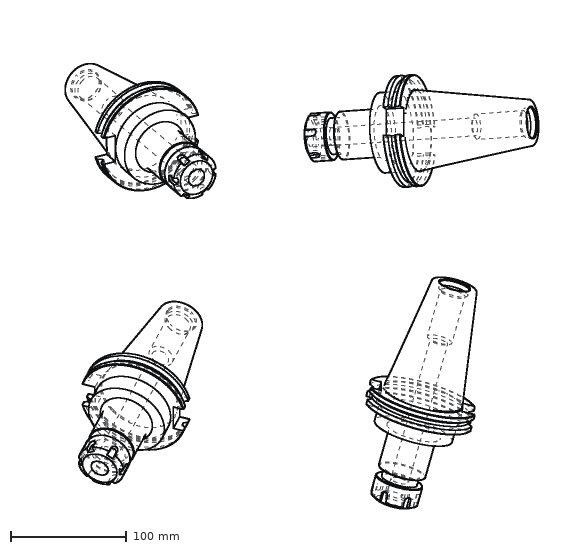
import cadquery as cq
import math


TAPER_END_X = 102.5
FLANGE_BACK_X = 104.9
FLANGE_WIDTH = 15.9
FLANGE_FRONT_X = FLANGE_BACK_X + FLANGE_WIDTH
COLLAR_END_X = 136.8
SHANK_END_X = 174.8
NUT_BACK_X = 183.0
NUT_FRONT_X = 203.2

TAPER_RATE = 7 / 24
TAPER_RADIUS = 70.1 / 2
LAND_FILLET = 0.8
TAPER_TIP_RADIUS = TAPER_RADIUS - TAPER_END_X * TAPER_RATE / 2
TIP_FILLET = 2.0
COLLAR_RADIUS = 70.1 / 2

FLANGE_RADIUS = 97.1 / 2
FLANGE_CHAMFER = 0.6
GROOVE_FLOOR_RADIUS = 45.1
GROOVE_FLOOR_WIDTH = 3.0
GROOVE_CENTRE_X = 112.5
GROOVE_SIDE_ANGLE = 30
SLOT_WIDTH = 25.2
SLOT_FLOOR_NEAR = 35.4
SLOT_FLOOR_FAR = 37.5

SHANK_RADIUS = 42.0 / 2
SHANK_FILLET = 5.0
SHANK_FILLET_LENGTH = 4.7
SHANK_END_CHAMFER = 0.6
NECK_RADIUS = 32.0 / 2
NECK_FILLET = 0.6

THROUGH_RADIUS = 15.6 / 2
MOUTH_RADIUS = 28.5 / 2
COUNTERBORE_RADIUS = 26.6 / 2
RELIEF_RADIUS = 26.2 / 2
DRAWBAR_RADIUS = 22.2 / 2
COUNTERBORE_END_X = 3.5
RELIEF_START_X = 4.5
RELIEF_END_X = 5.5
DRAWBAR_END_X = 50.8
DRILL_POINT_ANGLE = 118

NUT_RADIUS = 42.0 / 2
NUT_BACK_CHAMFER = 0.6
NUT_CONE_START_X = 200.2
NUT_FACE_RADIUS = 33.7 / 2
NUT_LIP_RADIUS = 32.0 / 2
NUT_LIP_HEIGHT = 0.6
WRENCH_SLOT_COUNT = 6
WRENCH_SLOT_WIDTH = 6.0
WRENCH_SLOT_START_X = 191.0
WRENCH_SLOT_FLOOR = 17.7


def spin(profile):
    """Revolve a closed profile of (x, radius) points about the X axis."""
    return profile.close().revolve(360, (0, 0, 0), (1, 0, 0))


def taper_shank():
    """7:24 taper with a rounded small end, and the land that blends into the flange by an arc."""
    taper = spin(
        cq.Workplane("XY")
        .lineTo(0, TAPER_TIP_RADIUS)
        .lineTo(TAPER_END_X, TAPER_RADIUS)
        .lineTo(TAPER_END_X, 0)
    )
    taper = taper.faces("<X").edges().fillet(TIP_FILLET)
    land = spin(
        cq.Workplane("XY")
        .moveTo(TAPER_END_X, 0)
        .lineTo(TAPER_END_X, TAPER_RADIUS)
        .lineTo(FLANGE_BACK_X - LAND_FILLET, TAPER_RADIUS)
        .radiusArc((FLANGE_BACK_X, TAPER_RADIUS + LAND_FILLET), -LAND_FILLET)
        .lineTo(FLANGE_BACK_X, 0)
    )
    return taper.union(land)


def gripper_groove():
    """Ring with sloping sides that cuts the V groove around the flange."""
    half_floor = GROOVE_FLOOR_WIDTH / 2
    depth = FLANGE_RADIUS - GROOVE_FLOOR_RADIUS
    half_top = half_floor + depth * math.tan(math.radians(GROOVE_SIDE_ANGLE))
    return spin(
        cq.Workplane("XY")
        .moveTo(GROOVE_CENTRE_X - half_floor, GROOVE_FLOOR_RADIUS)
        .lineTo(GROOVE_CENTRE_X + half_floor, GROOVE_FLOOR_RADIUS)
        .lineTo(GROOVE_CENTRE_X + half_top, FLANGE_RADIUS)
        .lineTo(GROOVE_CENTRE_X - half_top, FLANGE_RADIUS)
    )


def drive_slot(side, floor):
    """Block that cuts one drive slot; side is -1 for -Y and +1 for +Y."""
    depth = FLANGE_RADIUS - floor
    return cq.Workplane("XY").box(FLANGE_WIDTH, depth, SLOT_WIDTH).translate(
        (FLANGE_BACK_X + FLANGE_WIDTH / 2, side * (floor + depth / 2), 0)
    )


def gripper_flange():
    """Flange with chamfered rims, the V groove and two drive slots of unequal depth."""
    flange = (
        cq.Workplane("YZ", origin=(FLANGE_BACK_X, 0, 0))
        .circle(FLANGE_RADIUS)
        .extrude(FLANGE_WIDTH)
        .edges()
        .chamfer(FLANGE_CHAMFER)
    )
    flange = flange.cut(gripper_groove())
    flange = flange.cut(drive_slot(-1, SLOT_FLOOR_NEAR))
    return flange.cut(drive_slot(1, SLOT_FLOOR_FAR))


def collar_and_shank():
    """Collar in front of the flange, the shank blended into it by an arc, and the neck."""
    arc_end_x = COLLAR_END_X + SHANK_FILLET_LENGTH
    arc_centre_radius = SHANK_RADIUS + SHANK_FILLET
    arc_start_radius = arc_centre_radius - math.sqrt(SHANK_FILLET**2 - SHANK_FILLET_LENGTH**2)
    return spin(
        cq.Workplane("XY")
        .moveTo(FLANGE_FRONT_X, 0)
        .lineTo(FLANGE_FRONT_X, COLLAR_RADIUS)
        .lineTo(COLLAR_END_X, COLLAR_RADIUS)
        .lineTo(COLLAR_END_X, arc_start_radius)
        .radiusArc((arc_end_x, SHANK_RADIUS), -SHANK_FILLET)
        .lineTo(SHANK_END_X - SHANK_END_CHAMFER, SHANK_RADIUS)
        .lineTo(SHANK_END_X, SHANK_RADIUS - SHANK_END_CHAMFER)
        .lineTo(SHANK_END_X, NECK_RADIUS + NECK_FILLET)
        .radiusArc((SHANK_END_X + NECK_FILLET, NECK_RADIUS), -NECK_FILLET)
        .lineTo(NUT_BACK_X, NECK_RADIUS)
        .lineTo(NUT_BACK_X, 0)
    )


def holder_bore():
    """Stepped bore: chamfered mouth, counterbore, drawbar hole and through hole."""
    mouth_depth = MOUTH_RADIUS - COUNTERBORE_RADIUS
    seat_depth = RELIEF_RADIUS - DRAWBAR_RADIUS
    half_point = math.radians(DRILL_POINT_ANGLE / 2)
    point_length = (DRAWBAR_RADIUS - THROUGH_RADIUS) / math.tan(half_point)
    return spin(
        cq.Workplane("XY")
        .lineTo(0, MOUTH_RADIUS)
        .lineTo(mouth_depth, COUNTERBORE_RADIUS)
        .lineTo(COUNTERBORE_END_X, COUNTERBORE_RADIUS)
        .lineTo(RELIEF_START_X, RELIEF_RADIUS)
        .lineTo(RELIEF_END_X, RELIEF_RADIUS)
        .lineTo(RELIEF_END_X + seat_depth, DRAWBAR_RADIUS)
        .lineTo(DRAWBAR_END_X, DRAWBAR_RADIUS)
        .lineTo(DRAWBAR_END_X + point_length, THROUGH_RADIUS)
        .lineTo(NUT_BACK_X, THROUGH_RADIUS)
        .lineTo(NUT_BACK_X, 0)
    )


def make_holder():
    body = taper_shank().union(gripper_flange()).union(collar_and_shank())
    return body.cut(holder_bore())


def wrench_slot():
    """Cutter for the slot on the -Y side of the nut: round at its closed end, open at the front."""
    half_width = WRENCH_SLOT_WIDTH / 2
    round_end_x = WRENCH_SLOT_START_X + half_width
    return (
        cq.Workplane("XZ", origin=(0, -WRENCH_SLOT_FLOOR, 0))
        .moveTo(NUT_FRONT_X, -half_width)
        .lineTo(round_end_x, -half_width)
        .threePointArc((WRENCH_SLOT_START_X, 0), (round_end_x, half_width))
        .lineTo(NUT_FRONT_X, half_width)
        .close()
        .extrude(NUT_RADIUS - WRENCH_SLOT_FLOOR)
    )


def make_nut():
    """Ring with a coned front, a low lip around its face and wrench slots about its rim."""
    face_x = NUT_FRONT_X - NUT_LIP_HEIGHT
    nut = spin(
        cq.Workplane("XY")
        .moveTo(NUT_BACK_X, THROUGH_RADIUS)
        .lineTo(NUT_BACK_X, NUT_RADIUS - NUT_BACK_CHAMFER)
        .lineTo(NUT_BACK_X + NUT_BACK_CHAMFER, NUT_RADIUS)
        .lineTo(NUT_CONE_START_X, NUT_RADIUS)
        .lineTo(face_x, NUT_FACE_RADIUS)
        .lineTo(NUT_FRONT_X, NUT_LIP_RADIUS)
        .lineTo(NUT_FRONT_X, THROUGH_RADIUS)
    )
    cutter = wrench_slot()
    for index in range(WRENCH_SLOT_COUNT):
        angle = index * 360 / WRENCH_SLOT_COUNT
        nut = nut.cut(cutter.rotate((0, 0, 0), (1, 0, 0), angle))
    return nut


holder = make_holder()
clamping_nut = make_nut()

result = cq.Compound.makeCompound([holder.val(), clamping_nut.val()])